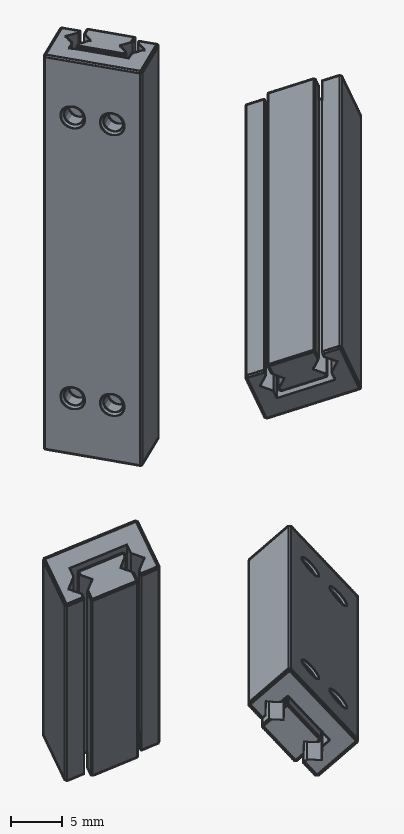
import cadquery as cq

length = 45.0
housing_chamfer = 0.2
slide_chamfer = 0.15

housing_width = 10.0
housing_height = 5.5
floor_thickness = 2.02
channel_half_width = 3.0

overall_height = 6.0
slide_base = 2.55
slide_half_width = 2.48

track_x = 2.75
track_y = 3.95
track_half_diagonal = 1.25

hole_diameter = 2.0
hole_mouth_diameter = 2.48
hole_mouth_depth = 0.3
hole_pitch_x = 4.0
hole_pitch_z = 32.0
hole_depth = 1.8


def cut_mirrored(body, tool):
    """Remove a tool from the body at +X and its mirror image at -X."""
    return body.cut(tool).cut(tool.mirror("YZ"))


def make_track():
    """Square prism along Z standing on its corner: the space left for the balls."""
    return (
        cq.Workplane("XY")
        .polyline([
            (track_x - track_half_diagonal, track_y),
            (track_x, track_y - track_half_diagonal),
            (track_x + track_half_diagonal, track_y),
            (track_x, track_y + track_half_diagonal),
        ])
        .close()
        .extrude(length)
    )


def make_bar(width, base, top):
    """Full-length rectangular bar standing along Z."""
    return (
        cq.Workplane("XY")
        .box(width, top - base, length, centered=(True, False, False))
        .translate((0, base, 0))
    )


def make_mounting_holes():
    """Blind holes with a conical mouth on the mounting face."""
    hole_profile = (
        cq.Workplane("XY")
        .polyline([
            (0, 0),
            (hole_mouth_diameter / 2, 0),
            (hole_diameter / 2, hole_mouth_depth),
            (hole_diameter / 2, hole_depth),
            (0, hole_depth),
        ])
        .close()
    )
    hole = hole_profile.revolve(360, (0, 0, 0), (0, 1, 0)).val()
    holes = cq.Workplane("XY")
    for x in (-hole_pitch_x / 2, hole_pitch_x / 2):
        for z in (length / 2 - hole_pitch_z / 2, length / 2 + hole_pitch_z / 2):
            holes = holes.add(hole.translate(cq.Vector(x, 0, z)))
    return holes.combine()


def make_housing():
    """Channel with its outer edges chamfered, the tracks in its side walls and the mounting holes."""
    channel = make_bar(2 * channel_half_width, floor_thickness, housing_height)
    body = make_bar(housing_width, 0, housing_height).edges().chamfer(housing_chamfer).cut(channel)
    return cut_mirrored(body, make_track()).cut(make_mounting_holes())


def make_slide():
    """Rail with its outer edges chamfered and a V-groove along each side."""
    body = make_bar(2 * slide_half_width, slide_base, overall_height).edges().chamfer(slide_chamfer)
    return cut_mirrored(body, make_track())


housing = make_housing()
slide = make_slide()

result = cq.Compound.makeCompound([housing.val(), slide.val()])